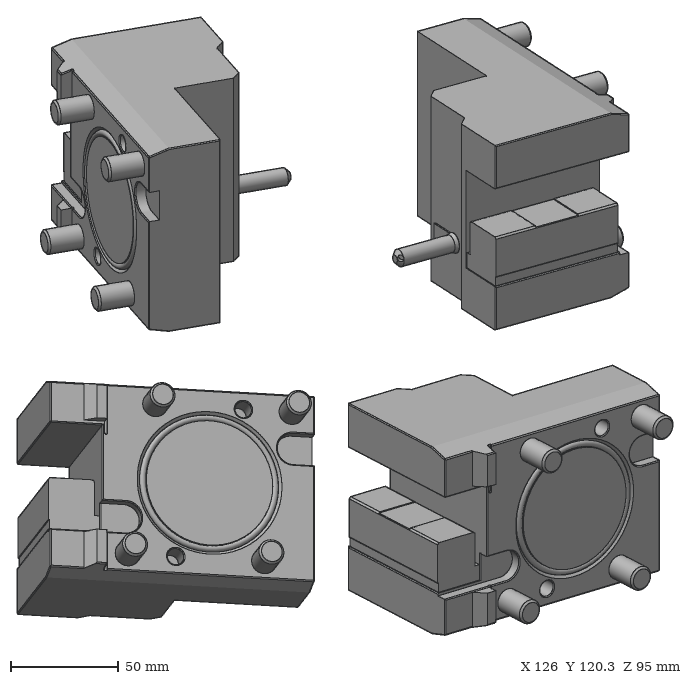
import cadquery as cq
import math

LENGTH = 126.0
HEIGHT = 95.0
DEPTH = 74.8
TOTAL_DEPTH = 120.3
MID_Z = HEIGHT / 2
EDGE_BREAK = 0.5

LEDGE_Y = 69.9
LEDGE_X = 33.8
TALL_X = 66.8
CORNER_CUT = 4.5
ARM_Y = 35.9

BEVEL_START_Y = 10.2
BEVEL_ANGLE = 15.0

SLOT_X = 24.8
SLOT_HEIGHT = 50.3
SLOT_BOTTOM = MID_Z - SLOT_HEIGHT / 2

TOOTH_START = 16.1
TOOTH_END = 26.0
TOOTH_REACH = 5.0
RELIEF_WIDTH = 1.4
RELIEF_DEPTH = 1.0
RELIEF_OVERRUN = 3.7

FACE_X = 76.0
BOLT_RADIUS = 5.9
BOLT_LENGTH = 17.6
BOLT_ROOT = 12.6
BOLT_CHAMFER = 1.0
BOLT_OFFSETS = [(-26.0, 36.5), (39.0, 36.5)]
DOWEL_RADIUS = 3.9
DOWEL_DEPTH = 12.6
DOWEL_OFFSET = (16.1, 36.5)
POCKET_RADIUS = 7.5
POCKET_DEPTH = 5.4
POCKET_OFFSET = (40.0, 18.9)
TOOTH_GAP = 2 * (POCKET_OFFSET[1] + POCKET_RADIUS + EDGE_BREAK)

GROOVE_INNER = 30.1
GROOVE_OUTER = 34.5
SEAL_WIRE = 1.5
SEAL_RADIUS = GROOVE_INNER + SEAL_WIRE
SEAL_PROUD = 0.3

BLOCK_LEFT = 0.4
BLOCK_RIGHT = 22.4
BLOCK_TOP = 47.5
BLOCK_FRONT = 6.2
BLOCK_BACK = 74.3
BLOCK_CHAMFER = 0.9
FOOT_TOP = 30.2
UNDERCUT = 0.5
UNDERCUT_TOP = 27.1
DIP_FRONT = 28.1
DIP_BACK = 51.8
DIP_DEPTH = 0.5
ROD_RADIUS = 4.0
ROD_Z = 37.5

PIN_X = 43.0
PIN_Z = 27.1
PIN_RADIUS = 4.3
PIN_END = TOTAL_DEPTH - BOLT_LENGTH
PIN_CHAMFER = 2.3
COLLAR_RADIUS = 5.0
COLLAR_HEIGHT = 2.0
COLLAR_RIM = 0.1
PORT_RADIUS = 1.5
PORT_RISE = 1.1
PORT_DEPTH = 2.5
TAB_END = 58.3
TAB_THICKNESS = 0.9


def box(x0, x1, y0, y1, z0, z1):
    """Block between two opposite corners."""
    return cq.Workplane("XY").box(x1 - x0, y1 - y0, z1 - z0, centered=False).translate((x0, y0, z0))


def rod_y(x, z, radius, y0, y1):
    """Round bar along +Y."""
    return cq.Workplane("XZ", origin=(x, y0, z)).circle(radius).extrude(y0 - y1)


def turned_half(shape):
    """The same shape turned half a turn about the centre of the mounting face."""
    return shape.rotate((FACE_X, 0, MID_Z), (FACE_X, 1, MID_Z), 180)


def bevel_inset(y):
    """Distance of the bevel below the top of the body at depth y."""
    return (BEVEL_START_Y - y) * math.tan(math.radians(BEVEL_ANGLE))


def make_body():
    body = (
        cq.Workplane("XY")
        .polyline([
            (0, 0),
            (LENGTH, 0),
            (LENGTH, ARM_Y),
            (TALL_X, ARM_Y),
            (TALL_X, LEDGE_Y - CORNER_CUT),
            (TALL_X - CORNER_CUT, LEDGE_Y),
            (LEDGE_X, LEDGE_Y),
            (LEDGE_X - (DEPTH - LEDGE_Y), DEPTH),
            (0, DEPTH),
        ])
        .close()
        .extrude(HEIGHT)
    )
    inset = bevel_inset(0)
    bevel = (
        cq.Workplane("YZ")
        .polyline([(0, HEIGHT), (BEVEL_START_Y, HEIGHT), (0, HEIGHT - inset)])
        .close()
        .extrude(LENGTH)
    )
    slot = box(0, SLOT_X, 0, DEPTH, SLOT_BOTTOM, SLOT_BOTTOM + SLOT_HEIGHT)
    body = body.cut(bevel).cut(bevel.mirror("XY", (0, 0, MID_Z))).cut(slot)
    return body.faces("<X or >X or <Y").chamfer(EDGE_BREAK)


def make_upper_tooth():
    inset = bevel_inset(-TOOTH_REACH)
    hook = (
        cq.Workplane("XY", origin=(0, 0, MID_Z + TOOTH_GAP / 2))
        .polyline([
            (TOOTH_START, BEVEL_START_Y),
            (TOOTH_START, 0),
            (TOOTH_START + TOOTH_REACH, -TOOTH_REACH),
            (TOOTH_END, -TOOTH_REACH),
            (TOOTH_END, BEVEL_START_Y),
        ])
        .close()
        .extrude((HEIGHT - TOOTH_GAP) / 2)
    )
    above_bevel = (
        cq.Workplane("YZ")
        .polyline([(BEVEL_START_Y, HEIGHT), (-TOOTH_REACH, HEIGHT), (-TOOTH_REACH, HEIGHT - inset)])
        .close()
        .extrude(LENGTH)
    )
    hook = hook.cut(above_bevel)
    hook = hook.faces("<Y").edges(">Z").chamfer(EDGE_BREAK)
    return hook.faces(">X").edges(">Z").chamfer(EDGE_BREAK)


def make_upper_relief():
    """Narrow round-ended groove beside the upper tooth."""
    centre_x = TOOTH_END + RELIEF_WIDTH / 2
    end_z = SLOT_BOTTOM + SLOT_HEIGHT - RELIEF_OVERRUN
    groove = box(TOOTH_END, TOOTH_END + RELIEF_WIDTH, 0, RELIEF_DEPTH, end_z, HEIGHT)
    return groove.union(rod_y(centre_x, end_z, RELIEF_WIDTH / 2, 0, RELIEF_DEPTH))


def make_pocket():
    """Round-ended pocket with a chamfered rim, running out through the +X side."""
    x = FACE_X + POCKET_OFFSET[0]
    z = MID_Z + POCKET_OFFSET[1]
    channel = box(x, x + LENGTH, 0, POCKET_DEPTH, z - POCKET_RADIUS, z + POCKET_RADIUS)
    rim_half_width = POCKET_RADIUS + EDGE_BREAK
    rim = (
        cq.Workplane("YZ", origin=(x, 0, z))
        .polyline([
            (0, -rim_half_width),
            (0, rim_half_width),
            (EDGE_BREAK, POCKET_RADIUS),
            (EDGE_BREAK, -POCKET_RADIUS),
        ])
        .close()
        .extrude(LENGTH)
    )
    round_end = make_round_recess(POCKET_OFFSET, POCKET_RADIUS, POCKET_DEPTH)
    return channel.union(rim).union(round_end)


def make_round_recess(offset, radius, depth):
    """Blind round recess in the mounting face with a chamfered rim."""
    profile = [
        (0, 0),
        (radius + EDGE_BREAK, 0),
        (radius, EDGE_BREAK),
        (radius, depth),
        (0, depth),
    ]
    recess = cq.Workplane("XY").polyline(profile).close().revolve(360, (0, 0, 0), (0, 1, 0))
    return recess.translate((FACE_X + offset[0], 0, MID_Z + offset[1]))


def make_slot_corner_chamfer():
    """Chamfer where the lower pocket floor meets the end wall of the jaw slot."""
    return (
        cq.Workplane("XY", origin=(0, 0, SLOT_BOTTOM))
        .polyline([
            (SLOT_X, POCKET_DEPTH),
            (SLOT_X + EDGE_BREAK, POCKET_DEPTH),
            (SLOT_X, POCKET_DEPTH + EDGE_BREAK),
        ])
        .close()
        .extrude(MID_Z - POCKET_OFFSET[1] + POCKET_RADIUS - SLOT_BOTTOM)
    )


def make_bolt(offset):
    bolt = rod_y(FACE_X + offset[0], MID_Z + offset[1], BOLT_RADIUS, -BOLT_LENGTH, BOLT_ROOT)
    return bolt.faces("<Y").chamfer(BOLT_CHAMFER)


def make_seal_groove():
    """Ring groove with a sloping outer flank."""
    return (
        cq.Workplane("XY")
        .polyline([
            (GROOVE_INNER, 0),
            (GROOVE_OUTER, 0),
            (GROOVE_OUTER - SEAL_WIRE, SEAL_WIRE),
            (GROOVE_INNER, SEAL_WIRE),
        ])
        .close()
        .revolve(360, (0, 0, 0), (0, 1, 0))
        .translate((FACE_X, 0, MID_Z))
    )


def make_seal():
    return (
        cq.Workplane("XY")
        .center(SEAL_RADIUS, SEAL_WIRE - SEAL_PROUD)
        .circle(SEAL_WIRE)
        .revolve(360, (-SEAL_RADIUS, 0, 0), (-SEAL_RADIUS, 1, 0))
        .translate((FACE_X, 0, MID_Z))
    )


def make_slider():
    block = box(BLOCK_LEFT, BLOCK_RIGHT, BLOCK_FRONT, BLOCK_BACK, SLOT_BOTTOM, BLOCK_TOP)
    block = block.faces(">Z").edges("|Y").chamfer(BLOCK_CHAMFER)
    undercut = box(
        BLOCK_LEFT, BLOCK_LEFT + UNDERCUT, BLOCK_FRONT, BLOCK_BACK, SLOT_BOTTOM, UNDERCUT_TOP
    )
    dip = box(BLOCK_LEFT, BLOCK_RIGHT, DIP_FRONT, DIP_BACK, BLOCK_TOP - DIP_DEPTH, BLOCK_TOP)
    foot = box(BLOCK_RIGHT, SLOT_X, BLOCK_FRONT, BLOCK_BACK, SLOT_BOTTOM, FOOT_TOP)
    middle_y = (DIP_FRONT + DIP_BACK) / 2
    rod = (
        cq.Workplane("YZ", origin=(BLOCK_RIGHT, middle_y, ROD_Z))
        .circle(ROD_RADIUS)
        .extrude(SLOT_X - BLOCK_RIGHT)
    )
    return block.cut(undercut).cut(dip).union(foot).union(rod)


def make_pin():
    pin = rod_y(PIN_X, PIN_Z, PIN_RADIUS, LEDGE_Y, PIN_END)
    pin = pin.faces(">Y").chamfer(PIN_CHAMFER)
    collar = rod_y(PIN_X, PIN_Z, COLLAR_RADIUS, LEDGE_Y, LEDGE_Y + COLLAR_HEIGHT)
    collar = collar.faces(">Y").chamfer(COLLAR_HEIGHT - COLLAR_RIM, COLLAR_RADIUS - PIN_RADIUS)
    tab = box(
        PIN_X, TAB_END, LEDGE_Y, LEDGE_Y + TAB_THICKNESS, PIN_Z - PIN_RADIUS, PIN_Z + PIN_RADIUS
    )
    port_start = cq.Vector(PIN_X - PIN_RADIUS, PIN_END, PIN_Z + PORT_RISE)
    port_length = PIN_CHAMFER / math.sqrt(2) + PORT_DEPTH
    port = cq.Solid.makeCylinder(PORT_RADIUS, port_length, port_start, cq.Vector(1, -1, 0))
    return pin.union(collar).union(tab).cut(cq.Workplane(port))


result = make_body()

tooth = make_upper_tooth()
result = result.union(tooth).union(tooth.mirror("XY", (0, 0, MID_Z)))
relief = make_upper_relief()
result = result.cut(relief).cut(relief.mirror("XY", (0, 0, MID_Z)))

pocket = make_pocket()
dowel_hole = make_round_recess(DOWEL_OFFSET, DOWEL_RADIUS, DOWEL_DEPTH)
for cutter in (pocket, dowel_hole):
    result = result.cut(cutter).cut(turned_half(cutter))
result = result.cut(make_slot_corner_chamfer())

for bolt_offset in BOLT_OFFSETS:
    bolt = make_bolt(bolt_offset)
    result = result.union(bolt).union(turned_half(bolt))

result = result.cut(make_seal_groove()).union(make_seal())
result = result.union(make_slider()).union(make_pin())